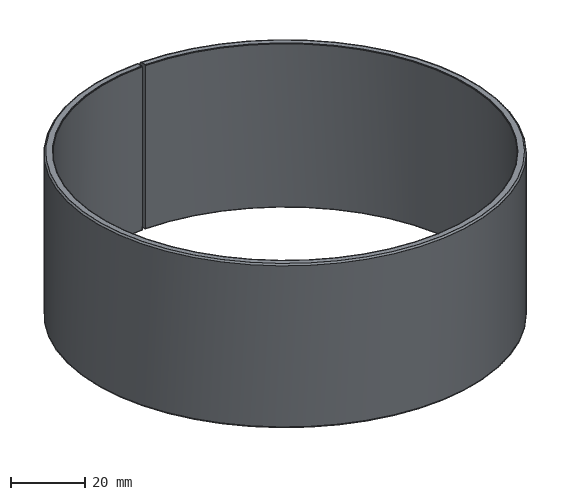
import cadquery as cq


outer_diameter = 130.0
wall = 2.5
height = 50.0
outer_chamfer = 0.5
inner_chamfer = 0.2
slit_angle = 1.0

outer_radius = outer_diameter / 2
inner_radius = outer_radius - wall

wall_section = (
    cq.Workplane("XZ")
    .moveTo(-inner_radius - inner_chamfer, 0)
    .lineTo(-outer_radius + outer_chamfer, 0)
    .lineTo(-outer_radius, outer_chamfer)
    .lineTo(-outer_radius, height - outer_chamfer)
    .lineTo(-outer_radius + outer_chamfer, height)
    .lineTo(-inner_radius - inner_chamfer, height)
    .lineTo(-inner_radius, height - inner_chamfer)
    .lineTo(-inner_radius, inner_chamfer)
    .close()
)

result = wall_section.revolve(360 - slit_angle, (0, 0, 0), (0, 1, 0))